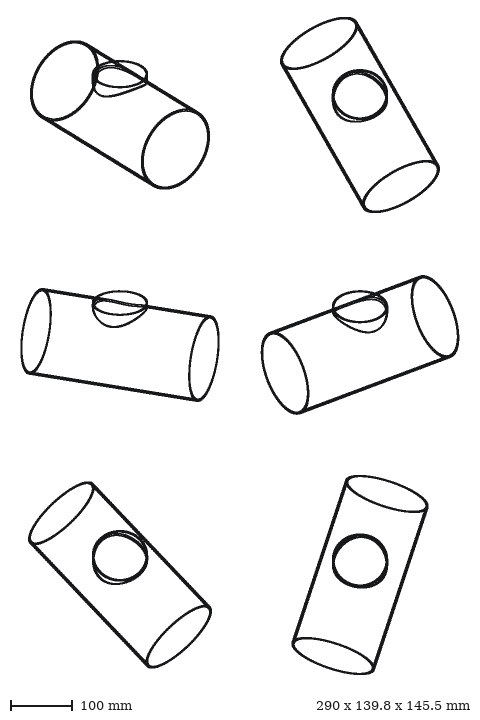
import cadquery as cq

run_length = 290.0
run_outer_diameter = 139.8
run_inner_diameter = 133.8
branch_outer_diameter = 89.1
branch_inner_diameter = 85.1
overall_height = 145.5

branch_height = overall_height - run_outer_diameter / 2


def run_cylinder(diameter):
    """Cylinder along X, centred on the origin, as long as the run pipe."""
    return (
        cq.Workplane("YZ")
        .circle(diameter / 2)
        .extrude(run_length / 2, both=True)
    )


def branch_cylinder(diameter):
    """Vertical cylinder from the run axis up to the branch rim."""
    return cq.Workplane("XY").circle(diameter / 2).extrude(branch_height)


outer_body = run_cylinder(run_outer_diameter).union(branch_cylinder(branch_outer_diameter))
result = (
    outer_body
    .cut(run_cylinder(run_inner_diameter))
    .cut(branch_cylinder(branch_inner_diameter))
)